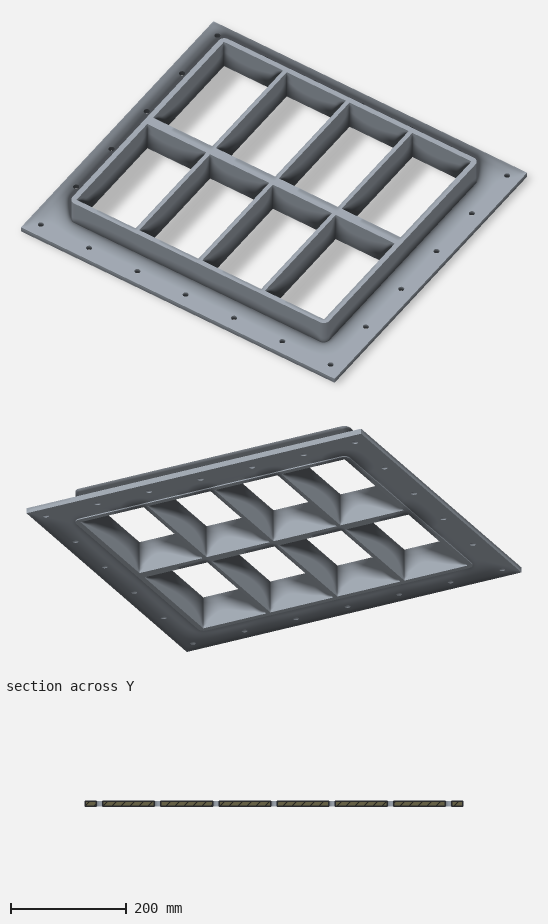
import cadquery as cq

flange_length = 652.0
flange_width = 596.0
flange_thickness = 10.0
flange_lift = 2.0

frame_length = 534.0
frame_width = 476.0
frame_height = 60.0
frame_wall = 10.0
frame_corner_radius = 12.0

columns = 4
rows = 2
cross_rib = 8.0
center_rib = 18.0

hole_diameter = 10.5
hole_edge_distance = 25.0
holes_along_x = 7
holes_along_y = 6


def make_flange():
    return (
        cq.Workplane("XY")
        .workplane(offset=flange_lift)
        .rect(flange_length, flange_width)
        .extrude(flange_thickness)
    )


def make_frame():
    return (
        cq.Workplane("XY")
        .rect(frame_length, frame_width)
        .extrude(frame_height)
        .edges("|Z")
        .fillet(frame_corner_radius)
    )


def make_openings():
    inner_length = frame_length - 2 * frame_wall
    inner_width = frame_width - 2 * frame_wall
    opening_length = (inner_length - (columns - 1) * cross_rib) / columns
    opening_width = (inner_width - (rows - 1) * center_rib) / rows
    return (
        cq.Workplane("XY")
        .rarray(opening_length + cross_rib, opening_width + center_rib, columns, rows)
        .rect(opening_length, opening_width)
        .extrude(frame_height)
    )


def make_bolt_holes():
    span_x = flange_length - 2 * hole_edge_distance
    span_y = flange_width - 2 * hole_edge_distance
    pitch_x = span_x / (holes_along_x - 1)
    pitch_y = span_y / (holes_along_y - 1)
    points = []
    for i in range(holes_along_x):
        for side in (-1, 1):
            points.append((-span_x / 2 + i * pitch_x, side * span_y / 2))
    for i in range(1, holes_along_y - 1):
        for side in (-1, 1):
            points.append((side * span_x / 2, -span_y / 2 + i * pitch_y))
    return cq.Workplane("XY").pushPoints(points).circle(hole_diameter / 2).extrude(frame_height)


result = make_flange().union(make_frame()).cut(make_openings()).cut(make_bolt_holes())